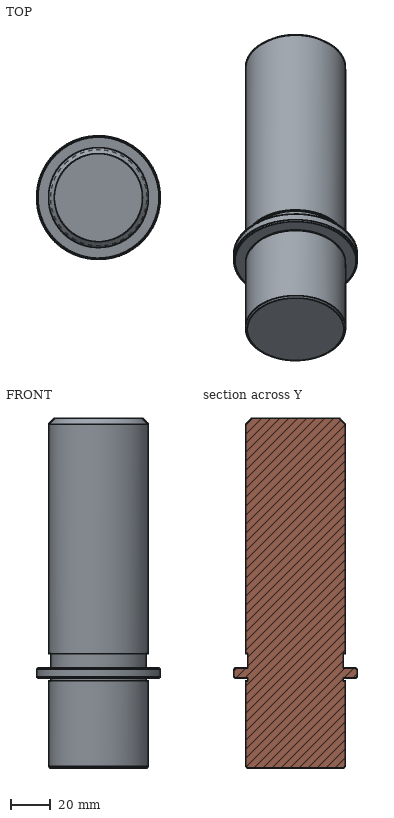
import cadquery as cq

total_height = 175.0
pin_diameter = 50.0
neck_diameter = 48.0
flange_diameter = 62.0

shank_top = 43.5
flange_bottom = 45.0
flange_thickness = 5.0
neck_top = 57.2
flange_top = flange_bottom + flange_thickness

tip_chamfer = 3.0
base_chamfer = 0.9
flange_chamfer = 0.7


def cylinder(diameter, bottom, top):
    """Solid round section between two heights on the Z axis."""
    return cq.Workplane("XY").workplane(offset=bottom).circle(diameter / 2).extrude(top - bottom)


shank = cylinder(pin_diameter, 0, shank_top).faces("<Z").chamfer(base_chamfer)

neck = cylinder(neck_diameter, shank_top, neck_top)

flange = cylinder(flange_diameter, flange_bottom, flange_top).edges().chamfer(flange_chamfer)

guide = (
    cylinder(pin_diameter, neck_top, total_height)
    .faces(">Z")
    .chamfer(tip_chamfer)
)

result = shank.union(neck).union(flange).union(guide)